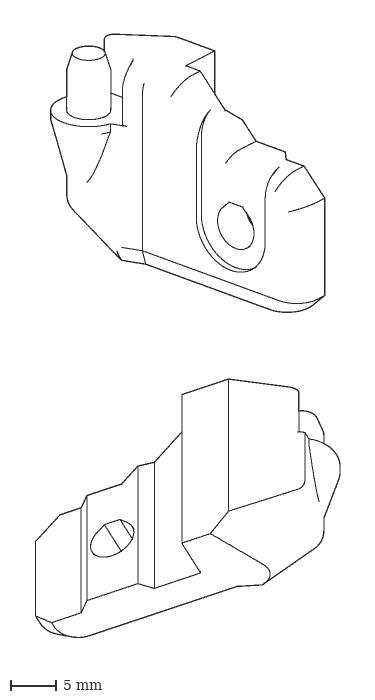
import cadquery as cq
import math

height = 24.0
right_end = 30.5

pin_radius = 4.9 / 2
pin_tip_radius = 1.85
pin_tip_start = 21.95
collar_radius = 4.25
collar_top = 17.0
collar_bottom = 15.98
cone_bottom = 8.95

plate_front = 0.17
plate_back = 4.48
arm_angle = math.radians(20)
block_left_y = 4.55
block_back = 9.48
block_back_left = 4.62
block_right = 10.3

pad_back = 5.9
pad_left = 15.98
pad_right = 24.9
pad_bevel = 1.35

shoulder_x = 12.4
low_top_x = 19.3
top_bevel = 3.02
bottom_bevel = 1.98
edge_round = 3.0
chamfer_depth = 0.73

clearance_radius = 4.93
clearance_round = 0.7

hole_x = 20.45
hole_z = 8.55
hole_radius = 2.65
hole_flat_top = 2.78
seat_radius = 5.0
seat_depth = 0.87
seat_edge_round = 2.0

slope_x = 1.2
slope_y = 0.6
round_center_z = 6.6
slope_offset = round_center_z - pin_radius * math.hypot(slope_x, slope_y, 1)

overshoot = 17.35

arm_tangent = (pin_radius * math.sin(arm_angle), -pin_radius * math.cos(arm_angle))
bend_x = (pin_radius + plate_front * math.cos(arm_angle)) / math.sin(arm_angle)
arc_middle_angle = (math.pi + 1.5 * math.pi + arm_angle) / 2
arc_middle = (pin_radius * math.cos(arc_middle_angle), pin_radius * math.sin(arc_middle_angle))


def touches(edge, points):
    return any(edge.distance(cq.Vertex.makeVertex(*p)) < 0.005 for p in points)


def round_edges(body, radius, points):
    """Round every edge passing through one of the points."""
    edges = [e for e in body.edges().vals() if touches(e, points)]
    return cq.Workplane(body.val().fillet(radius, edges))


def plan_prism():
    """Arm, plate, rear block and pad, extruded from well below the part to its top."""
    return (
        cq.Workplane("XY", origin=(0, 0, -overshoot))
        .moveTo(-pin_radius, block_left_y)
        .lineTo(-pin_radius, 0)
        .threePointArc(arc_middle, arm_tangent)
        .lineTo(bend_x, plate_front)
        .lineTo(right_end, plate_front)
        .lineTo(right_end, plate_back)
        .lineTo(pad_right, plate_back)
        .lineTo(pad_right - pad_bevel, pad_back)
        .lineTo(pad_left + pad_bevel, pad_back)
        .lineTo(pad_left, plate_back)
        .lineTo(block_right, plate_back)
        .lineTo(block_right, block_back)
        .lineTo(block_back_left, block_back)
        .close()
        .extrude(overshoot + height)
    )


def elevation(front):
    """Stepped plate outline, extruded backward from a Y position."""
    return (
        cq.Workplane("XZ", origin=(0, front, 0))
        .moveTo(-overshoot, -overshoot)
        .lineTo(-overshoot, height)
        .lineTo(shoulder_x, height)
        .lineTo(low_top_x, collar_top)
        .lineTo(right_end - top_bevel, collar_top)
        .lineTo(right_end, collar_top - top_bevel)
        .lineTo(right_end, -overshoot)
        .close()
        .extrude(-2 * overshoot)
    )


def lower_left_envelope():
    """Space behind the arm front, left side and sloping face, all blended at the pin radius.

    The three sharp faces meet in one corner, which the equal rounds turn into part of a sphere.
    Beyond the bend the space is unlimited, so the plate is left whole.
    """
    corner_y = -pin_radius * (math.tan(arm_angle) + 1 / math.cos(arm_angle))
    far_x = 3 * overshoot
    block = (
        cq.Workplane("XY", origin=(0, 0, -overshoot))
        .moveTo(-pin_radius, corner_y)
        .lineTo(far_x, corner_y + (far_x + pin_radius) * math.tan(arm_angle))
        .lineTo(far_x, far_x)
        .lineTo(-pin_radius, far_x)
        .close()
        .extrude(overshoot + 2 * height)
    )
    slope_plane = cq.Plane(
        origin=(0, 0, slope_offset),
        xDir=(0, 1, slope_y),
        normal=(-slope_x, slope_y, -1),
    )
    side = 10 * overshoot
    block = block.cut(cq.Workplane(slope_plane).rect(side, side).extrude(side))
    corner = (-pin_radius, corner_y, slope_offset + slope_x * pin_radius + slope_y * corner_y)
    beyond_bend = (
        cq.Workplane("XY", origin=(bend_x, 0, 0))
        .box(far_x, 2 * far_x, 2 * far_x, centered=(False, True, True))
    )
    return round_edges(block, pin_radius, [corner]).union(beyond_bend)


def pin_clearance():
    """Round pocket above the collar, open to the left and front."""
    depth = height - collar_top
    level = cq.Workplane("XY", origin=(0, 0, collar_top))
    pocket = level.circle(clearance_radius).extrude(depth)
    left_side = level.rect(2 * overshoot, 2 * clearance_radius).extrude(depth)
    left_half = cq.Workplane("XY").box(
        overshoot, 2 * overshoot, 4 * overshoot, centered=(False, True, True)
    ).translate((-overshoot, 0, 0))
    return pocket.union(left_side.intersect(left_half))


def front_edge_points(front):
    """Points on the front edges along the sloping and low stretches of the plate top."""
    return [
        ((shoulder_x + low_top_x) / 2, front, (height + collar_top) / 2),
        ((low_top_x + right_end - top_bevel) / 2, front, collar_top),
    ]


def outer_edge_points():
    """Points on all front edges that carry the large round."""
    arm_x = (bend_x + clearance_radius) / 2
    arm_y = plate_front - (bend_x - arm_x) * math.tan(arm_angle)
    return front_edge_points(plate_front) + [
        (arm_x, arm_y, height),
        ((bend_x + shoulder_x) / 2, plate_front, height),
        (right_end - top_bevel / 2, plate_front, collar_top - top_bevel / 2),
        (right_end, plate_front, 0),
    ]


def clearance_rim_points():
    """Points on the curved and straight top edges of the pin clearance."""
    diagonal = clearance_radius * math.sqrt(0.5)
    return [(diagonal, diagonal, height), (-0.35, clearance_radius, height)]


def lower_right_cut():
    """Removes the lower right corner, carrying the rounded right end down, left and back."""
    reach = 2 * edge_round
    corner = (
        cq.Workplane("XY", origin=(0, 0, bottom_bevel))
        .moveTo(right_end - edge_round, plate_front)
        .radiusArc((right_end, plate_front + edge_round), -edge_round)
        .lineTo(right_end, pad_back)
        .lineTo(right_end + reach, pad_back)
        .lineTo(right_end + reach, plate_front)
        .close()
    )
    face = cq.Face.makeFromWires(corner.wires().val())
    drop = cq.Vector(-bottom_bevel, chamfer_depth, -bottom_bevel)
    return cq.Workplane(cq.Solid.extrudeLinear(face, drop))


def bottom_chamfer():
    """Steep chamfer along the lower front edge of the arm and plate."""

    def front_band(level, setback):
        arm_setback = setback * math.tan(arm_angle / 2)
        inner_x = bend_x - arm_setback
        inner_y = plate_front + setback
        run = 2 * overshoot
        fall = run * math.tan(arm_angle)
        return (
            cq.Workplane("XY", origin=(0, 0, level))
            .moveTo(inner_x, inner_y)
            .lineTo(inner_x + run, inner_y)
            .lineTo(inner_x + run, -run)
            .lineTo(inner_x - run, -run)
            .lineTo(inner_x - run, inner_y - fall)
            .close()
            .wires()
            .val()
        )

    band = cq.Solid.makeLoft([front_band(0, chamfer_depth), front_band(bottom_bevel, 0)], True)
    return cq.Workplane(band)


def seat_cut():
    """Round-bottomed seat around the screw hole, open at the top with its own rounded edge."""
    floor = plate_front + seat_depth
    seat = (
        cq.Workplane("XZ", origin=(0, -overshoot, 0))
        .moveTo(hole_x - seat_radius, hole_z)
        .threePointArc((hole_x, hole_z - seat_radius), (hole_x + seat_radius, hole_z))
        .lineTo(hole_x + seat_radius, height)
        .lineTo(hole_x - seat_radius, height)
        .close()
        .extrude(-overshoot - plate_back)
    )
    return seat.cut(round_edges(elevation(floor), seat_edge_round, front_edge_points(floor)))


def screw_hole():
    """Through hole with 45 degree flats and a short flat top."""
    tangent = hole_radius * math.sqrt(0.5)
    top_half_width = hole_radius * math.sqrt(2) - hole_flat_top
    return (
        cq.Workplane("XZ", origin=(hole_x, -overshoot, hole_z))
        .moveTo(-tangent, tangent)
        .threePointArc((0, -hole_radius), (tangent, tangent))
        .lineTo(top_half_width, hole_flat_top)
        .lineTo(-top_half_width, hole_flat_top)
        .close()
        .extrude(-2 * overshoot)
    )


def pin():
    """Pin with a tapered tip, its collar and the supporting cone, as one turned shape."""
    return (
        cq.Workplane("XZ")
        .moveTo(0, cone_bottom)
        .lineTo(pin_radius, cone_bottom)
        .lineTo(collar_radius, collar_bottom)
        .lineTo(collar_radius, collar_top)
        .lineTo(pin_radius, collar_top)
        .lineTo(pin_radius, pin_tip_start)
        .lineTo(pin_tip_radius, height)
        .lineTo(0, height)
        .close()
        .revolve(360, (0, 0, 0), (0, 1, 0))
    )


body = plan_prism().intersect(elevation(-overshoot)).cut(pin_clearance())
body = round_edges(body, edge_round, outer_edge_points())
body = round_edges(body, clearance_round, clearance_rim_points())

body = body.intersect(lower_left_envelope())
below = cq.Workplane("XY").rect(6 * overshoot, 6 * overshoot).extrude(-2 * overshoot)
body = body.cut(below).cut(lower_right_cut()).cut(bottom_chamfer())

body = body.cut(seat_cut()).cut(screw_hole())
result = body.union(pin())